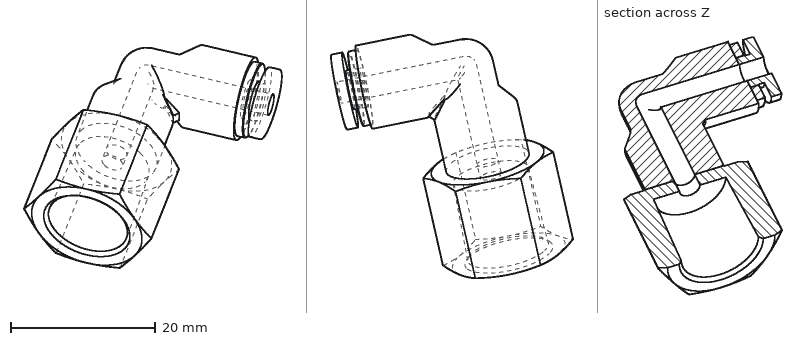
import cadquery as cq
import math


arm_length = 14.4
barrel_diameter = 11.8
neck_diameter = 7.75
cone_start = 3.9
cone_end = 6.6
cone_blend_radius = 0.5
edge_margin = 0.1
passage_diameter = 3.0

web_thickness = 1.6
web_reach = 6.5
web_half_spread = 5.8

nut_across_flats = 16.0
nut_across_corners = nut_across_flats / math.cos(math.radians(30))
nut_length = 14.0
nut_chamfer_angle = 20.0
thread_depth = 12.0
thread_mouth_diameter = 11.445
thread_taper = 1 / 16
thread_floor_diameter = thread_mouth_diameter - thread_depth * thread_taper
countersink_diameter = 12.5
countersink_depth = (countersink_diameter - thread_mouth_diameter) / 2

ring_diameter = 10.6
ring_length = 1.2
ring_edge_chamfer = 0.1

collet_neck_diameter = 5.5
collet_gap = 0.8
flange_width = 10.9
flange_height = 8.6
flange_thickness = 1.6
flange_edge_radius = 0.2

ring_start = arm_length
ring_end = ring_start + ring_length
flange_start = ring_end + collet_gap
nut_back = -arm_length


def rod_along_x(diameter, start, length):
    """Cylinder on the tube axis."""
    return cq.Workplane("YZ", origin=(start, 0, 0)).circle(diameter / 2).extrude(length)


def rod_along_minus_y(diameter, start, length):
    """Cylinder on the thread axis, running toward -Y from y = start."""
    return cq.Workplane("XZ", origin=(0, start, 0)).circle(diameter / 2).extrude(length)


def make_arm():
    """One elbow arm along +X: neck, cone and barrel with blended cone edges."""
    profile = [
        (0, 0),
        (0, neck_diameter / 2),
        (cone_start, neck_diameter / 2),
        (cone_end, barrel_diameter / 2),
        (arm_length, barrel_diameter / 2),
        (arm_length, 0),
    ]
    arm = cq.Workplane("XY").polyline(profile).close().revolve(360, (0, 0, 0), (1, 0, 0))
    half_box = barrel_diameter
    cone_edges = cq.selectors.BoxSelector(
        (cone_start - edge_margin, -half_box, -half_box),
        (cone_end + edge_margin, half_box, half_box),
    )
    return arm.edges("%CIRCLE").edges(cone_edges).fillet(cone_blend_radius)


def make_web():
    """Flat web whose outer edge joins the large ends of the two cones."""
    corners = [(0, 0), (web_half_spread, -web_reach), (web_reach, -web_half_spread)]
    return cq.Workplane("XY").polyline(corners).close().extrude(web_thickness / 2, both=True)


def make_elbow():
    tube_arm = make_arm()
    thread_arm = make_arm().rotate((0, 0, 0), (0, 0, 1), -90)
    elbow = tube_arm.union(thread_arm)
    elbow = elbow.union(cq.Workplane("XY").sphere(neck_diameter / 2))
    elbow = elbow.union(make_web())

    elbow = elbow.cut(rod_along_x(passage_diameter, 0, arm_length))
    elbow = elbow.cut(rod_along_minus_y(passage_diameter, 0, arm_length))
    return elbow.cut(cq.Workplane("XY").sphere(passage_diameter / 2))


def make_nut_envelope():
    """Turned blank that chamfers the hexagon corners at both nut faces."""
    face_radius = nut_across_flats / 2
    corner_radius = nut_across_corners / 2
    corner_drop = (corner_radius - face_radius) * math.tan(math.radians(nut_chamfer_angle))
    nut_front = nut_back - nut_length
    profile = [
        (0, nut_back),
        (face_radius, nut_back),
        (corner_radius, nut_back - corner_drop),
        (corner_radius, nut_front + corner_drop),
        (face_radius, nut_front),
        (0, nut_front),
    ]
    return cq.Workplane("XY").polyline(profile).close().revolve(360, (0, 0, 0), (0, 1, 0))


def make_thread_bore():
    """Countersunk, tapered blind bore opening at the -Y nut face."""
    nut_front = nut_back - nut_length
    floor = nut_front + thread_depth
    mouth = nut_front + countersink_depth
    profile = [
        (0, nut_front),
        (countersink_diameter / 2, nut_front),
        (thread_mouth_diameter / 2, mouth),
        (thread_floor_diameter / 2, floor),
        (0, floor),
    ]
    return cq.Workplane("XY").polyline(profile).close().revolve(360, (0, 0, 0), (0, 1, 0))


def make_nut():
    hexagon = cq.Workplane("XZ", origin=(0, nut_back, 0)).polygon(6, nut_across_corners)
    nut = hexagon.extrude(nut_length).intersect(make_nut_envelope())
    nut = nut.cut(make_thread_bore())
    return nut.cut(rod_along_minus_y(passage_diameter, nut_back, nut_length))


def make_ring():
    ring = rod_along_x(ring_diameter, ring_start, ring_length)
    ring = ring.faces(">X").edges().chamfer(ring_edge_chamfer)
    return ring.cut(rod_along_x(collet_neck_diameter, ring_start, ring_length))


def make_collet():
    flange = cq.Workplane("YZ", origin=(flange_start, 0, 0))
    flange = flange.ellipse(flange_width / 2, flange_height / 2).extrude(flange_thickness)
    flange = flange.faces(">X").edges().fillet(flange_edge_radius)
    neck_length = flange_start - ring_start
    collet = flange.union(rod_along_x(collet_neck_diameter, ring_start, neck_length))
    collet_length = neck_length + flange_thickness
    return collet.cut(rod_along_x(passage_diameter, ring_start, collet_length))


elbow = make_elbow()
nut = make_nut()
ring = make_ring()
collet = make_collet()

result = cq.Compound.makeCompound([elbow.val(), nut.val(), ring.val(), collet.val()])